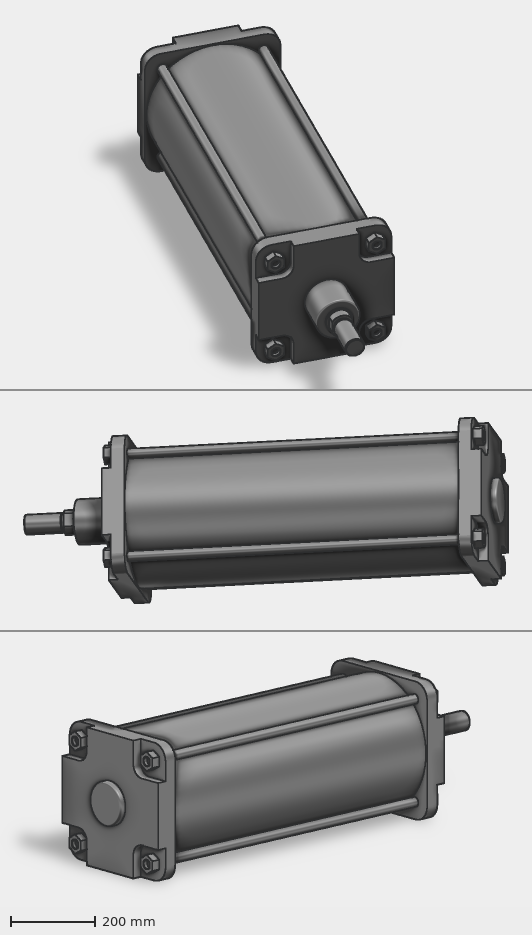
import cadquery as cq

overall_length = 1152.0
rear_end_x = -overall_length / 2
front_end_x = overall_length / 2
rear_boss_length = 16.0
cap_length = 55.0
barrel_length = 809.0
gland_length = 91.0
rod_shoulder_length = 5.0
wrench_length = 24.0

rear_cap_x = rear_end_x + rear_boss_length
barrel_x = rear_cap_x + cap_length
front_cap_x = barrel_x + barrel_length
front_face_x = front_cap_x + cap_length
gland_end_x = front_face_x + gland_length
wrench_x = gland_end_x + rod_shoulder_length
thread_x = wrench_x + wrench_length

cap_width = 340.0
cap_corner_radius = 40.0
pocket_width = 88.0
pocket_radius = 30.0
rear_pocket_depth = 24.0
front_pocket_depth = 22.0
boss_diameter = 110.0
boss_fillet = 6.0

barrel_diameter = 332.0

rod_diameter = 66.0
wrench_diameter = 60.0
wrench_flats = 51.0
thread_diameter = 48.0
thread_chamfer = 2.0
thread_neck_length = 6.0
thread_neck_diameter = 44.0

tie_spacing = 253.0
tie_diameter = 24.0
nut_across_flats = 41.0
nut_height = 22.0
tie_recess_diameter = 22.0
tie_recess_depth = 12.0
tie_recess_chamfer = 1.0

corner_signs = [(y, z) for y in (-1, 1) for z in (-1, 1)]


def yz_plane(x):
    """Workplane across the cylinder axis at station x, extruding toward +X."""
    return cq.Workplane("YZ", origin=(x, 0, 0))


def cylinder(x, diameter, length):
    return yz_plane(x).circle(diameter / 2).extrude(length)


def cap_block(x, pocket_x, pocket_depth):
    """Rounded square plate with a nut pocket in each corner and four tie rod holes."""
    block = yz_plane(x).rect(cap_width, cap_width).extrude(cap_length)
    block = block.edges("|X").fillet(cap_corner_radius)
    for sign_y, sign_z in corner_signs:
        cutter = (
            yz_plane(pocket_x)
            .center(sign_y * cap_width / 2, sign_z * cap_width / 2)
            .rect(2 * pocket_width, 2 * pocket_width)
            .extrude(pocket_depth)
            .edges("|X")
            .fillet(pocket_radius)
        )
        block = block.cut(cutter)
    holes = yz_plane(x).rect(tie_spacing, tie_spacing, forConstruction=True).vertices()
    return block.cut(holes.circle(tie_diameter / 2).extrude(cap_length))


def make_rear_cap():
    boss = cylinder(rear_end_x, boss_diameter, rear_boss_length)
    boss = boss.faces("<X").fillet(boss_fillet)
    return cap_block(rear_cap_x, rear_cap_x, rear_pocket_depth).union(boss)


def make_front_cap():
    """Front cap with the gland sleeve that guides the piston rod."""
    gland = cylinder(front_face_x, boss_diameter, gland_length)
    gland = gland.faces(">X").fillet(boss_fillet)
    cap = cap_block(front_cap_x, front_face_x - front_pocket_depth, front_pocket_depth)
    rod_bore = cylinder(front_cap_x, rod_diameter, gland_end_x - front_cap_x)
    return cap.union(gland).cut(rod_bore)


def make_barrel():
    return cylinder(barrel_x, barrel_diameter, barrel_length)


def make_piston_rod():
    """Stepped rod: guided shank, wrench flats, undercut and threaded end."""
    shank = cylinder(front_cap_x, rod_diameter, wrench_x - front_cap_x)
    flats = yz_plane(wrench_x).rect(wrench_flats, wrench_diameter).extrude(wrench_length)
    wrench = cylinder(wrench_x, wrench_diameter, wrench_length).intersect(flats)
    neck = cylinder(thread_x, thread_neck_diameter, thread_neck_length)
    thread_start_x = thread_x + thread_neck_length
    thread = cylinder(thread_start_x, thread_diameter, front_end_x - thread_start_x)
    thread = thread.faces("<X or >X").chamfer(thread_chamfer)
    return shank.union(wrench).union(neck).union(thread)


def make_tie_rod(y, z):
    """Tie rod through both caps, one piece with its two nuts and recessed at its ends."""
    rear_nut_x = rear_cap_x + rear_pocket_depth
    front_nut_x = front_face_x - front_pocket_depth
    rear_tip_x = rear_nut_x - nut_height
    front_tip_x = front_nut_x + nut_height
    tie = cylinder(rear_tip_x, tie_diameter, front_tip_x - rear_tip_x)
    for nut_x in (rear_tip_x, front_nut_x):
        nut = yz_plane(nut_x).polygon(6, nut_across_flats, circumscribed=True).extrude(nut_height)
        tie = tie.union(nut)
    for recess_x in (rear_tip_x, front_tip_x - tie_recess_depth):
        tie = tie.cut(cylinder(recess_x, tie_recess_diameter, tie_recess_depth))
    recess_mouths = tie.faces("<X or >X").edges("%CIRCLE")
    tie = recess_mouths.chamfer(tie_recess_chamfer)
    return tie.translate((0, y, z))


rear_cap = make_rear_cap()
front_cap = make_front_cap()
barrel = make_barrel()
piston_rod = make_piston_rod()
tie_rods = [
    make_tie_rod(sign_y * tie_spacing / 2, sign_z * tie_spacing / 2) for sign_y, sign_z in corner_signs
]

result = cq.Compound.makeCompound(
    [
        rear_cap.val(),
        front_cap.val(),
        barrel.val(),
        piston_rod.val(),
        *[tie_rod.val() for tie_rod in tie_rods],
    ]
)